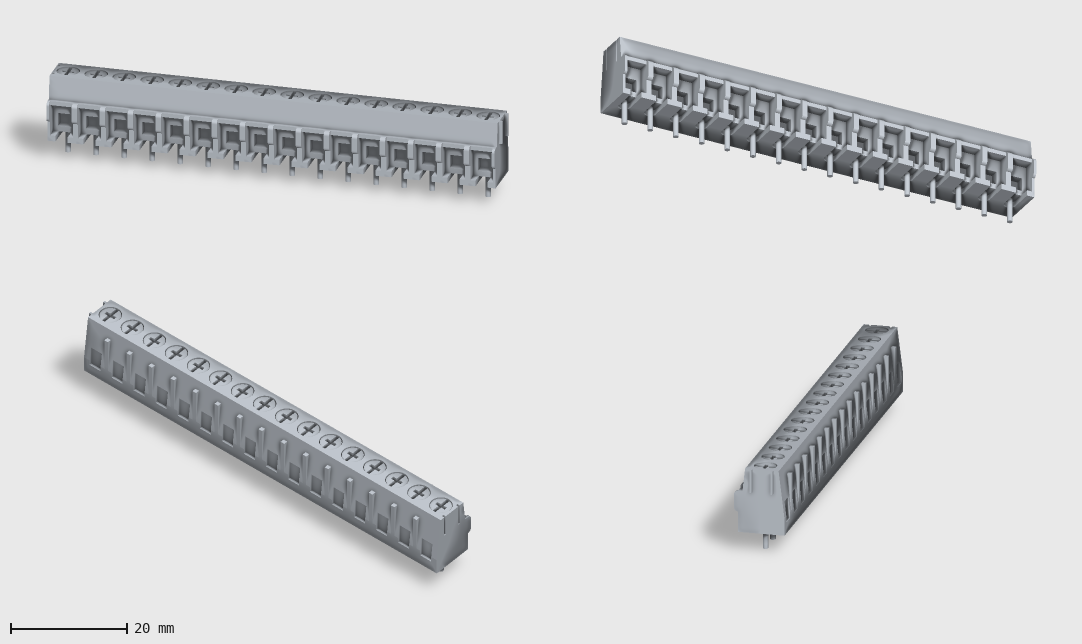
import cadquery as cq
import math


pole_count = 16
body_length = 80.0
pitch = body_length / pole_count
total_length = 80.6
pole_centres = [(pole + 0.5) * pitch for pole in range(pole_count)]
inner_boundaries = [pole * pitch for pole in range(1, pole_count)]

top_z = 15.0
bottom_z = 3.4
back_y = 4.0
front_y = -4.3
top_half_depth = 3.0
ledge_z = 10.8
ledge_inner_y = -3.5
back_slope_end_z = 6.45

partition_width = 1.0
pocket_width = pitch - partition_width
pocket_floor_z = 4.4
pocket_top_z = 10.1
pocket_depth = 2.2
wire_opening_width = 2.5
wire_opening_bottom_z = 5.4
wire_opening_height = 2.4
wire_opening_depth = 1.6

rib_front_y = -5.0
rib_round = front_y - rib_front_y
rib_bottom_z = 7.1

back_rib_width = 0.8
back_rib_top_z = 13.05
back_recess_depth = 0.5
back_recess_top_z = 9.2

screw_hole_diameter = 4.0
screw_diameter = 3.8
screw_hole_depth = 1.2
screw_sink = 0.2
drive_slot_width = 0.65
drive_slot_depth = 0.8
cross_slot_length = 2.2

pin_diameter = 1.0
pin_slot_width = 2.2
pin_embed = 0.4

key_length = total_length - body_length
key_width = 0.4
key_offset_y = 1.85


def box(x_min, x_max, y_min, y_max, z_min, z_max):
    """Box given by its limits along each axis."""
    size = (x_max - x_min, y_max - y_min, z_max - z_min)
    return cq.Workplane("XY").box(*size, centered=False).translate((x_min, y_min, z_min))


def extrude_section(points, x_start, length):
    """Extrude a closed (Y, Z) outline along +X."""
    return cq.Workplane("YZ", origin=(x_start, 0, 0)).polyline(points).close().extrude(length)


def make_body():
    outline = [
        (back_y, bottom_z),
        (back_y, back_slope_end_z),
        (top_half_depth, top_z),
        (-top_half_depth, top_z),
        (ledge_inner_y, ledge_z),
        (front_y, ledge_z),
        (front_y, bottom_z),
    ]
    return extrude_section(outline, 0, body_length)


def make_front_rib(x_start, width):
    """Rib with rounded upper and lower front corners, rooted in the partition behind it."""
    corner_shift = rib_round * (1 - math.sqrt(0.5))
    corner_y = rib_front_y + corner_shift
    outline = (
        cq.Workplane("YZ", origin=(x_start, 0, 0))
        .moveTo(front_y, rib_bottom_z)
        .threePointArc((corner_y, rib_bottom_z + corner_shift), (rib_front_y, rib_bottom_z + rib_round))
        .lineTo(rib_front_y, ledge_z - rib_round)
        .threePointArc((corner_y, ledge_z - corner_shift), (front_y, ledge_z))
        .close()
    )
    return outline.extrude(width)


def make_back_rib(x):
    half_width = back_rib_width / 2
    return box(x - half_width, x + half_width, 0, back_y, bottom_z, back_rib_top_z)


def make_pocket(x):
    """Wire pocket, the deeper square wire opening behind it and the recess in the back."""
    half_width = pocket_width / 2
    half_opening = wire_opening_width / 2
    wall_y = front_y + pocket_depth
    opening_top_z = wire_opening_bottom_z + wire_opening_height
    pocket = box(x - half_width, x + half_width, front_y, wall_y, pocket_floor_z, pocket_top_z)
    opening = box(x - half_opening, x + half_opening, wall_y, wall_y + wire_opening_depth,
                  wire_opening_bottom_z, opening_top_z)
    recess = box(x - half_opening, x + half_opening, back_y - back_recess_depth, back_y,
                 wire_opening_bottom_z, back_recess_top_z)
    return pocket.union(opening).union(recess)


def make_pin_slot(x):
    """Slot in the pocket floor, open at the front and rounded around the pin."""
    half_width = pin_slot_width / 2
    height = pocket_floor_z - bottom_z
    round_end = cq.Workplane("XY", origin=(x, 0, bottom_z)).circle(half_width).extrude(height)
    return round_end.union(box(x - half_width, x + half_width, front_y, 0, bottom_z, pocket_floor_z))


def make_pin(x):
    return cq.Workplane("XY", origin=(x, 0, 0)).circle(pin_diameter / 2).extrude(pocket_floor_z + pin_embed)


def make_screw_hole(x):
    floor_z = top_z - screw_hole_depth
    return cq.Workplane("XY", origin=(x, 0, floor_z)).circle(screw_hole_diameter / 2).extrude(screw_hole_depth)


def make_screw(x):
    """Screw head with a full-width slot along Y and a short cross slot along X."""
    floor_z = top_z - screw_hole_depth
    head_z = top_z - screw_sink
    head = cq.Workplane("XY", origin=(x, 0, floor_z)).circle(screw_diameter / 2).extrude(head_z - floor_z)
    drive = cq.Workplane("XY", origin=(x, 0, head_z)).rect(drive_slot_width, screw_hole_diameter)
    cross = cq.Workplane("XY", origin=(x, 0, head_z)).rect(cross_slot_length, drive_slot_width)
    return head.cut(drive.extrude(-drive_slot_depth)).cut(cross.extrude(-drive_slot_depth))


def make_keys(x_start):
    """Pair of upright rails, mirrored about the screw plane."""
    half_width = key_width / 2
    rail = box(x_start, x_start + key_length, key_offset_y - half_width, key_offset_y + half_width,
               ledge_z, top_z)
    return rail.union(rail.mirror("XZ"))


def for_each_pole(make_feature):
    """Solids of one feature repeated at every pole."""
    return [make_feature(x).val() for x in pole_centres]


def add_all(solid, pieces):
    """Fuse many separate pieces onto the solid in one operation."""
    return cq.Workplane("XY").newObject([solid.val().fuse(*pieces)])


def cut_all(solid, pieces):
    """Cut many separate pieces from the solid in one operation."""
    return cq.Workplane("XY").newObject([solid.val().cut(*pieces)])


half_partition = partition_width / 2
front_ribs = [make_front_rib(x - half_partition, partition_width) for x in inner_boundaries]
front_ribs.append(make_front_rib(0, half_partition))
front_ribs.append(make_front_rib(body_length - half_partition, half_partition))

result = add_all(make_body(), [rib.val() for rib in front_ribs])
result = add_all(result, [make_back_rib(x).val() for x in inner_boundaries])
result = cut_all(result, for_each_pole(make_pocket))
result = cut_all(result, for_each_pole(make_pin_slot))
result = cut_all(result, for_each_pole(make_screw_hole))
result = add_all(result, for_each_pole(make_screw))
result = add_all(result, for_each_pole(make_pin))
result = result.cut(make_keys(0)).union(make_keys(body_length))